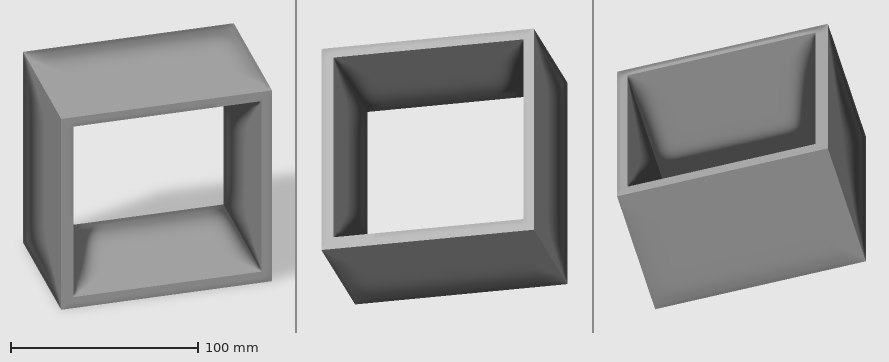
import cadquery as cq

length = 76.2
outer_side = 116.8

thin_wall = 5.7
thick_wall = 6.8
inner_side = outer_side - thin_wall - thick_wall

outer_block = cq.Workplane("YZ").rect(outer_side, outer_side, centered=False).extrude(length)
opening = (
    cq.Workplane("YZ")
    .moveTo(thick_wall, thick_wall)
    .rect(inner_side, inner_side, centered=False)
    .extrude(length)
)

result = outer_block.cut(opening)